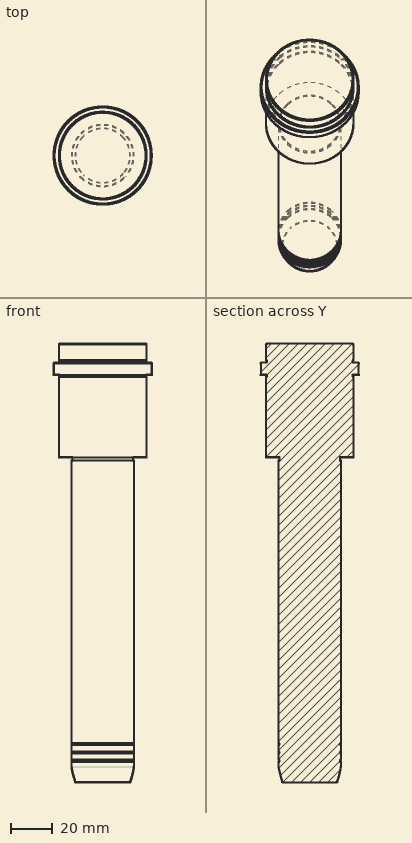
import cadquery as cq

total_length = 210.0

head_diameter = 42.0
head_length = 54.5
head_edge_chamfer = 0.5
flange_diameter = 47.0
flange_thickness = 6.0
flange_top_depth = 9.0
flange_edge_chamfer = 0.5
relief_width = 1.0
relief_depth = 0.5

stem_diameter = 30.0
neck_diameter = 29.0
neck_length = 1.5

tip_diameter = 26.4
tip_length = 7.5
tip_bulge = 0.2
tip_end_chamfer = 0.3

ring_count = 3
ring_pitch = 4.0
ring_width = 1.0
ring_depth = 0.4
lowest_ring_height = 10.5

head_bottom = total_length - head_length
flange_top = total_length - flange_top_depth
flange_bottom = flange_top - flange_thickness


def cylinder(diameter, bottom, top):
    return cq.Workplane("XY").workplane(offset=bottom).circle(diameter / 2).extrude(top - bottom)


def revolve_about_z(profile):
    return profile.revolve(360, (0, 0, 0), (0, 1, 0))


def vee_groove(diameter, middle, width, depth):
    """Ring with a V-shaped floor, to be cut from a cylinder of the given diameter."""
    radius = diameter / 2
    outside = radius + depth
    bottom = middle - width / 2
    top = middle + width / 2
    profile = (
        cq.Workplane("XZ")
        .moveTo(outside, bottom)
        .lineTo(radius, bottom)
        .lineTo(radius - depth, middle)
        .lineTo(radius, top)
        .lineTo(outside, top)
        .close()
    )
    return revolve_about_z(profile)


def make_head():
    head = cylinder(head_diameter, head_bottom, total_length)
    head = head.faces(">Z").edges().chamfer(head_edge_chamfer)
    relief_middles = (flange_top + relief_width / 2, flange_bottom - relief_width / 2)
    for middle in relief_middles:
        head = head.cut(vee_groove(head_diameter, middle, relief_width, relief_depth))
    flange = cylinder(flange_diameter, flange_bottom, flange_top)
    flange = flange.faces(">Z").edges().chamfer(flange_edge_chamfer)
    return head.union(flange)


def make_tip():
    stem_radius = stem_diameter / 2
    tip_radius = tip_diameter / 2
    side_middle = ((stem_radius + tip_radius) / 2 + tip_bulge, (tip_length + tip_end_chamfer) / 2)
    profile = (
        cq.Workplane("XZ")
        .lineTo(tip_radius - tip_end_chamfer, 0)
        .lineTo(tip_radius, tip_end_chamfer)
        .threePointArc(side_middle, (stem_radius, tip_length))
        .lineTo(0, tip_length)
        .close()
    )
    return revolve_about_z(profile)


def make_stem():
    neck_bottom = head_bottom - neck_length
    stem = cylinder(stem_diameter, tip_length, neck_bottom)
    stem = stem.union(cylinder(neck_diameter, neck_bottom, head_bottom))
    for index in range(ring_count):
        middle = lowest_ring_height + index * ring_pitch
        stem = stem.cut(vee_groove(stem_diameter, middle, ring_width, ring_depth))
    return stem


result = make_head().union(make_stem()).union(make_tip())